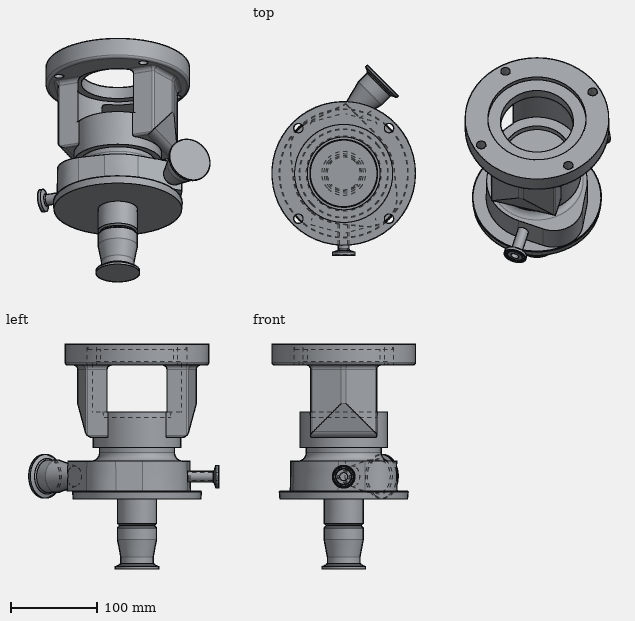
import cadquery as cq
import math

CASING_FLANGE_BOTTOM = 81.3
CASING_BOTTOM = 90.7
CASING_TOP = 125.5
COLLAR_BOTTOM = 141.2
COLLAR_TOP = 182.8
LEG_BOTTOM = 152.7
MOTOR_FLANGE_BOTTOM = 237.2
MOTOR_FLANGE_TOP = 261.5
OUTLET_LEVEL = 108.0
FLUSH_LEVEL = 107.5

MOTOR_FLANGE_RADIUS = 167.0 / 2
MOTOR_FLANGE_ROUND = 3.1
SPIGOT_RADIUS = 57.0
SPIGOT_DEPTH = 6.3
MOTOR_BORE_RADIUS = 42.4
MOTOR_BORE_BOTTOM = 241.0
BOLT_OFFSET = 52.5
BOLT_HOLE_DIAMETER = 10.7

LEG_HALF_WIDTH = 38.5
LEG_RIDGE_HALF_WIDTH = 3.0
LEG_RIDGE_Y = 69.0
LEG_SLOPE = 15.0
LEG_RIDGE_END = 192.5
LEG_INNER_RADIUS = 51.8
LEG_TOE_ROUND = 9.5
LEG_EDGE_ROUND = 2.4
LEG_ROOT_ROUND = 5.0

COLLAR_RADIUS = 51.0
RECESS_RADIUS = 39.5
RECESS_DEPTH = 6.5
RECESS_WALL_TAPER = 0.8
NECK_RADIUS = 43.7
NECK_ROUND = 10.0

OUTLET_ANGLE = 45
FAR_CORNER_ANGLE = OUTLET_ANGLE + 90
BACK_ANGLE = OUTLET_ANGLE + 180
NEAR_CORNER_ANGLE = OUTLET_ANGLE - 90

CASING_RADIUS = 59.0
CORNER_RADIUS = 34.0
CORNER_DISTANCE = 40.0
OUTLET_WALL_ANGLE = 26.0
CASING_DRAFT = 1.0
CASING_FLANGE_RADIUS = 74.3
CASING_LIP = 0.8

PIPE_RADIUS = 19.0
FERRULE_RADIUS = 51.0 / 2
FERRULE_RIM = 3.0
FERRULE_NECK_RADIUS = 20.7
FERRULE_SHOULDER = 5.0
FERRULE_LENGTH = 6.8
SUCTION_RADIUS = 45.8 / 2
SUCTION_CONE_START = 14.5
SUCTION_CONE_END = 34.3
GROOVE_LEVEL = 50.7
GROOVE_HALF_WIDTH = 2.5
GROOVE_FLOOR_HALF_WIDTH = 0.8
GROOVE_DEPTH = 2.0
OUTLET_REACH = 108.5
OUTLET_OFFSET = 44.2
OUTLET_CONE_END = 87.3
OUTLET_CONE_ROOT = 52.3
OUTLET_ROOT_RADIUS = 10.2

FLUSH_REACH = 95.2
FLUSH_PIPE_RADIUS = 12.8 / 2
FLUSH_BORE_RADIUS = 4.7
FLUSH_FERRULE_RADIUS = 26.5 / 2
FLUSH_RIM = 3.7
FLUSH_SHOULDER = 5.5
FLUSH_FERRULE_LENGTH = 7.0
FLUSH_NECK_RADIUS = 7.3
GASKET_INNER_RADIUS = 9.0
GASKET_OUTER_RADIUS = 12.0
GASKET_WALL_TAPER = 0.8
GASKET_DEPTH = 1.0


def disc(radius, bottom, top):
    return cq.Workplane("XY").workplane(offset=bottom).circle(radius).extrude(top - bottom)


def turned(profile):
    """Revolve (radius, height) points about Z, closing the profile along the axis."""
    points = [(0, profile[0][1])] + profile + [(0, profile[-1][1])]
    return cq.Workplane("XZ").polyline(points).close().revolve(360, (0, 0), (0, 1))


def on_arc(centre, radius, degrees):
    """Point at the given angle from +X on a circle."""
    angle = math.radians(degrees)
    return (centre[0] + radius * math.cos(angle), centre[1] + radius * math.sin(angle))


def ferrule_profile():
    return [
        (FERRULE_RADIUS, 0),
        (FERRULE_RADIUS, FERRULE_RIM),
        (FERRULE_NECK_RADIUS, FERRULE_SHOULDER),
        (PIPE_RADIUS, FERRULE_LENGTH),
    ]


def make_leg():
    slope = math.tan(math.radians(LEG_SLOPE))
    height = MOTOR_FLANGE_BOTTOM - LEG_BOTTOM
    edge_y = LEG_RIDGE_Y - (LEG_HALF_WIDTH - LEG_RIDGE_HALF_WIDTH) * slope
    toe_y = LEG_RIDGE_Y - (LEG_RIDGE_END - LEG_BOTTOM) * slope
    plan = (
        cq.Workplane("XY")
        .workplane(offset=LEG_BOTTOM)
        .polyline([
            (-LEG_HALF_WIDTH, 0),
            (-LEG_HALF_WIDTH, -edge_y),
            (-LEG_RIDGE_HALF_WIDTH, -LEG_RIDGE_Y),
            (LEG_RIDGE_HALF_WIDTH, -LEG_RIDGE_Y),
            (LEG_HALF_WIDTH, -edge_y),
            (LEG_HALF_WIDTH, 0),
        ])
        .close()
        .extrude(height)
        .faces("<X or >X")
        .edges("|Z and (not >Y)")
        .fillet(LEG_EDGE_ROUND)
    )
    side = (
        cq.Workplane("YZ")
        .polyline([
            (0, LEG_BOTTOM),
            (-toe_y, LEG_BOTTOM),
            (-LEG_RIDGE_Y, LEG_RIDGE_END),
            (-LEG_RIDGE_Y, MOTOR_FLANGE_BOTTOM),
            (0, MOTOR_FLANGE_BOTTOM),
        ])
        .close()
        .extrude(LEG_HALF_WIDTH, both=True)
        .faces("<Z")
        .edges("<Y")
        .fillet(LEG_TOE_ROUND)
    )
    front = (
        cq.Workplane("XY")
        .workplane(offset=LEG_BOTTOM)
        .rect(2 * LEG_HALF_WIDTH, 2 * LEG_RIDGE_Y)
        .extrude(height)
        .faces("<Z")
        .edges("|Y")
        .fillet(LEG_EDGE_ROUND)
    )
    return plan.intersect(side).intersect(front)


def make_lantern():
    flange = disc(MOTOR_FLANGE_RADIUS, MOTOR_FLANGE_BOTTOM, MOTOR_FLANGE_TOP)
    flange = flange.faces("<Z").edges().fillet(MOTOR_FLANGE_ROUND)
    leg = make_leg()
    lantern = flange.union(leg).union(leg.rotate((0, 0, 0), (0, 0, 1), 180))
    root = LEG_RIDGE_Y + LEG_EDGE_ROUND
    root_box = cq.selectors.BoxSelector(
        (-root, -root, MOTOR_FLANGE_BOTTOM - LEG_EDGE_ROUND / 2),
        (root, root, MOTOR_FLANGE_BOTTOM + LEG_EDGE_ROUND / 2),
        boundingbox=True,
    )
    lantern = lantern.edges(root_box).fillet(LEG_ROOT_ROUND)
    lantern = lantern.cut(disc(SPIGOT_RADIUS, MOTOR_FLANGE_TOP - SPIGOT_DEPTH, MOTOR_FLANGE_TOP))
    lantern = lantern.cut(disc(MOTOR_BORE_RADIUS, MOTOR_BORE_BOTTOM, MOTOR_FLANGE_TOP))
    lantern = lantern.cut(disc(LEG_INNER_RADIUS, COLLAR_TOP, MOTOR_BORE_BOTTOM))
    lantern = lantern.cut(disc(COLLAR_RADIUS, LEG_BOTTOM, COLLAR_TOP))
    return (
        lantern.faces(">Z")
        .workplane(origin=(0, 0, 0))
        .rect(2 * BOLT_OFFSET, 2 * BOLT_OFFSET, forConstruction=True)
        .vertices()
        .hole(BOLT_HOLE_DIAMETER)
    )


def make_collar():
    collar = disc(COLLAR_RADIUS, COLLAR_BOTTOM, COLLAR_TOP)
    recess = turned([
        (RECESS_RADIUS - RECESS_WALL_TAPER, COLLAR_TOP - RECESS_DEPTH),
        (RECESS_RADIUS, COLLAR_TOP),
    ])
    collar = collar.cut(recess)
    neck = (
        cq.Workplane("XZ")
        .moveTo(0, CASING_TOP)
        .lineTo(NECK_RADIUS + NECK_ROUND, CASING_TOP)
        .radiusArc((NECK_RADIUS, CASING_TOP + NECK_ROUND), NECK_ROUND)
        .lineTo(NECK_RADIUS, COLLAR_BOTTOM)
        .lineTo(0, COLLAR_BOTTOM)
        .close()
        .revolve(360, (0, 0), (0, 1))
    )
    return collar.union(neck)


def make_casing():
    body = (0, 0)
    far_corner = on_arc(body, CORNER_DISTANCE, FAR_CORNER_ANGLE)
    near_corner = on_arc(body, CORNER_DISTANCE, NEAR_CORNER_ANGLE)
    spread = math.degrees(math.acos((CASING_RADIUS - CORNER_RADIUS) / CORNER_DISTANCE))
    left_wall = FAR_CORNER_ANGLE + spread
    front_wall = NEAR_CORNER_ANGLE - spread
    right_wall = NEAR_CORNER_ANGLE + spread
    outlet_wall = 90 + OUTLET_WALL_ANGLE
    wall_start = on_arc(far_corner, CORNER_RADIUS, outlet_wall)
    corner_reach = CORNER_RADIUS * math.cos(math.radians(outlet_wall - OUTLET_ANGLE))
    wall_length = (CASING_RADIUS - corner_reach) / math.cos(math.radians(OUTLET_ANGLE - OUTLET_WALL_ANGLE))
    outlet_tip = on_arc(wall_start, wall_length, OUTLET_WALL_ANGLE)
    outline = (
        cq.Workplane("XY")
        .workplane(offset=CASING_BOTTOM)
        .moveTo(*outlet_tip)
        .lineTo(*wall_start)
        .threePointArc(
            on_arc(far_corner, CORNER_RADIUS, (outlet_wall + left_wall) / 2),
            on_arc(far_corner, CORNER_RADIUS, left_wall),
        )
        .lineTo(*on_arc(body, CASING_RADIUS, left_wall))
        .threePointArc(
            on_arc(body, CASING_RADIUS, BACK_ANGLE),
            on_arc(body, CASING_RADIUS, front_wall),
        )
        .lineTo(*on_arc(near_corner, CORNER_RADIUS, front_wall))
        .threePointArc(
            on_arc(near_corner, CORNER_RADIUS, NEAR_CORNER_ANGLE),
            on_arc(near_corner, CORNER_RADIUS, right_wall),
        )
        .lineTo(*on_arc(body, CASING_RADIUS, right_wall))
        .threePointArc(
            on_arc(body, CASING_RADIUS, (right_wall + OUTLET_ANGLE) / 2),
            on_arc(body, CASING_RADIUS, OUTLET_ANGLE),
        )
        .close()
    )
    casing = outline.extrude(CASING_TOP - CASING_BOTTOM, taper=CASING_DRAFT)
    lip_radius = CASING_FLANGE_RADIUS + CASING_LIP
    flange = turned([
        (CASING_FLANGE_RADIUS, CASING_FLANGE_BOTTOM),
        (lip_radius, CASING_BOTTOM - CASING_LIP),
        (CASING_FLANGE_RADIUS, CASING_BOTTOM),
    ])
    return casing.union(flange)


def make_suction():
    groove_floor = SUCTION_RADIUS - GROOVE_DEPTH
    return turned(ferrule_profile() + [
        (PIPE_RADIUS, SUCTION_CONE_START),
        (SUCTION_RADIUS, SUCTION_CONE_END),
        (SUCTION_RADIUS, GROOVE_LEVEL - GROOVE_HALF_WIDTH),
        (groove_floor, GROOVE_LEVEL - GROOVE_FLOOR_HALF_WIDTH),
        (groove_floor, GROOVE_LEVEL + GROOVE_FLOOR_HALF_WIDTH),
        (SUCTION_RADIUS, GROOVE_LEVEL + GROOVE_HALF_WIDTH),
        (SUCTION_RADIUS, CASING_FLANGE_BOTTOM),
    ])


def make_outlet():
    branch = turned(ferrule_profile() + [
        (PIPE_RADIUS, OUTLET_REACH - OUTLET_CONE_END),
        (OUTLET_ROOT_RADIUS, OUTLET_REACH - OUTLET_CONE_ROOT),
    ])
    branch = branch.rotate((0, 0, 0), (0, 1, 0), -90)
    branch = branch.translate((OUTLET_REACH, OUTLET_OFFSET, OUTLET_LEVEL))
    return branch.rotate((0, 0, 0), (0, 0, 1), OUTLET_ANGLE)


def lay_flush_part(part):
    """Turn an upright part to point along -Y with its base at the flushing port's face."""
    return part.rotate((0, 0, 0), (1, 0, 0), -90).translate((0, -FLUSH_REACH, FLUSH_LEVEL))


def make_flush_port():
    port = turned([
        (FLUSH_FERRULE_RADIUS, 0),
        (FLUSH_FERRULE_RADIUS, FLUSH_RIM),
        (FLUSH_NECK_RADIUS, FLUSH_SHOULDER),
        (FLUSH_PIPE_RADIUS, FLUSH_FERRULE_LENGTH),
        (FLUSH_PIPE_RADIUS, FLUSH_REACH - NECK_RADIUS),
    ])
    groove_outside = turned([
        (GASKET_OUTER_RADIUS, 0),
        (GASKET_OUTER_RADIUS - GASKET_WALL_TAPER, GASKET_DEPTH),
    ])
    groove_inside = turned([
        (GASKET_INNER_RADIUS, 0),
        (GASKET_INNER_RADIUS + GASKET_WALL_TAPER, GASKET_DEPTH),
    ])
    return lay_flush_part(port.cut(groove_outside.cut(groove_inside)))


flush_bore = lay_flush_part(disc(FLUSH_BORE_RADIUS, 0, FLUSH_REACH - CASING_RADIUS))

result = (
    make_lantern()
    .union(make_collar())
    .union(make_casing())
    .union(make_suction())
    .union(make_outlet())
    .union(make_flush_port())
    .cut(flush_bore)
)